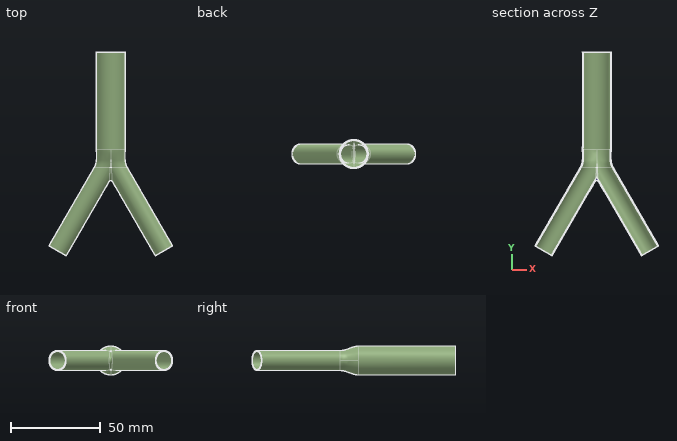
import cadquery as cq
import math

TRUNK_RADIUS = 8.1
TRUNK_LENGTH = 54.0
WALL = 0.6
TRANSITION_LENGTH = 10.2
BRANCH_RADIUS = 5.6
BRANCH_ANGLE = 30.0
OVERALL_WIDTH = 68.83
OVERALL_LENGTH = 113.26
CROTCH_FILLET = 1.0
SECTION_COUNT = 6
SEAM_TOLERANCE = 0.01

SIN_ANGLE = math.sin(math.radians(BRANCH_ANGLE))
COS_ANGLE = math.cos(math.radians(BRANCH_ANGLE))
TAN_ANGLE = SIN_ANGLE / COS_ANGLE
BRANCH_END_X = OVERALL_WIDTH / 2 - BRANCH_RADIUS * COS_ANGLE
BRANCH_END_Y = TRUNK_LENGTH - OVERALL_LENGTH + BRANCH_RADIUS * SIN_ANGLE
BRANCH_START_X = BRANCH_END_X + (BRANCH_END_Y + TRANSITION_LENGTH) * TAN_ANGLE


def smooth_blend(start, end, end_slope, t):
    """Cubic that leaves start level and reaches end at end_slope, for t from 0 to 1."""
    rise = (end - start) * (3 * t**2 - 2 * t**3)
    return start + rise + end_slope * (t**3 - t**2)


def half_space(start_y):
    """Large block keeping X > 0 and Y below start_y."""
    block = cq.Workplane("XY").box(OVERALL_LENGTH, OVERALL_LENGTH, OVERALL_LENGTH)
    return block.translate((OVERALL_LENGTH / 2, start_y - OVERALL_LENGTH / 2, 0))


def both_sides(half):
    """Join a +X half with its mirror image across X = 0."""
    return half.union(half.mirror("YZ"))


def trunk(radius):
    """Straight cylinder from Y = 0 to the trunk mouth."""
    return cq.Workplane("XZ").circle(radius).extrude(-TRUNK_LENGTH)


def transition(trunk_radius, branch_radius):
    """Pair of lofts from the round trunk to the oblique section of each branch."""
    wires = []
    for i in range(SECTION_COUNT):
        t = i / (SECTION_COUNT - 1)
        centre_x = smooth_blend(0, BRANCH_START_X, TRANSITION_LENGTH * TAN_ANGLE, t)
        half_width = smooth_blend(trunk_radius, branch_radius / COS_ANGLE, 0, t)
        half_height = smooth_blend(trunk_radius, branch_radius, 0, t)
        plane = cq.Workplane("XZ", origin=(centre_x, -t * TRANSITION_LENGTH, 0))
        wires.append(plane.ellipse(half_width, half_height).val())
    loft = cq.Workplane(cq.Solid.makeLoft(wires))
    return both_sides(loft.intersect(half_space(0)))


def branches(radius):
    """Pair of inclined cylinders, trimmed at the end of the transition."""
    mouth = cq.Vector(BRANCH_END_X, BRANCH_END_Y, 0)
    inward = cq.Vector(-SIN_ANGLE, COS_ANGLE, 0)
    cylinder = cq.Workplane(cq.Solid.makeCylinder(radius, OVERALL_LENGTH, mouth, inward))
    return both_sides(cylinder.intersect(half_space(-TRANSITION_LENGTH)))


def round_crotch(legs):
    """Fillet the seam where the two branches meet on X = 0."""
    seam_zone = cq.selectors.BoxSelector(
        (-SEAM_TOLERANCE, -OVERALL_LENGTH, -OVERALL_LENGTH),
        (SEAM_TOLERANCE, -TRANSITION_LENGTH - SEAM_TOLERANCE, OVERALL_LENGTH),
    )
    return legs.edges(seam_zone).fillet(CROTCH_FILLET)


def y_body(trunk_radius, branch_radius, legs):
    """Solid Y: trunk, transition and the given pair of branches."""
    return trunk(trunk_radius).union(transition(trunk_radius, branch_radius)).union(legs)


outer = y_body(TRUNK_RADIUS, BRANCH_RADIUS, round_crotch(branches(BRANCH_RADIUS)))

bore_trunk_radius = TRUNK_RADIUS - WALL
bore_branch_radius = BRANCH_RADIUS - WALL
bore = y_body(bore_trunk_radius, bore_branch_radius, branches(bore_branch_radius))

result = outer.cut(bore)